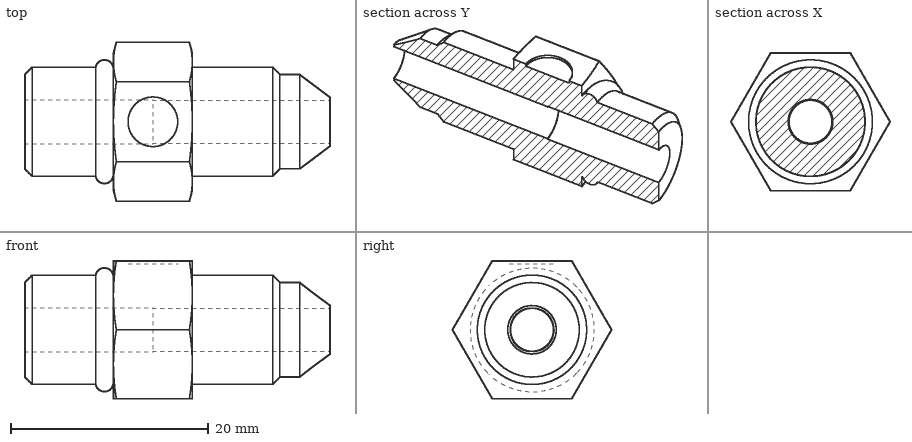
import cadquery as cq
import math

TOTAL_LENGTH = 31.0
BODY_DIAMETER = 11.11
STUD_BORE_DIAMETER = 4.49
CONE_BORE_DIAMETER = 4.36

STUD_CHAMFER = 0.75
STUD_LENGTH = 9.0

HEX_ACROSS_FLATS = 14.0
HEX_LENGTH = 8.0
HEX_CHAMFER_ANGLE = 15.0

BODY_END_X = 25.9
BODY_END_CHAMFER_LENGTH = 0.75
NOSE_DIAMETER = 9.6
CONE_LENGTH = 3.1
CONE_HALF_ANGLE = 37.0

RING_INNER_DIAMETER = 8.92
RING_SECTION_DIAMETER = 1.83

RECESS_DIAMETER = 5.04
RECESS_DEPTH = 0.3

body_radius = BODY_DIAMETER / 2
nose_radius = NOSE_DIAMETER / 2
cone_start_x = TOTAL_LENGTH - CONE_LENGTH
cone_end_radius = nose_radius - CONE_LENGTH * math.tan(math.radians(CONE_HALF_ANGLE))
hex_start_x = STUD_LENGTH
hex_end_x = hex_start_x + HEX_LENGTH
hex_middle_x = (hex_start_x + hex_end_x) / 2
hex_flat_radius = HEX_ACROSS_FLATS / 2
hex_corner_radius = hex_flat_radius / math.cos(math.pi / 6)


def revolve_about_x(profile):
    """Revolve a closed XY profile one full turn about the X axis."""
    return profile.revolve(360, (0, 0, 0), (1, 0, 0))


def make_body():
    """Turned body: chamfered stud, round shank, nose and sealing cone."""
    profile = (
        cq.Workplane("XY")
        .moveTo(0, 0)
        .lineTo(0, body_radius - STUD_CHAMFER)
        .lineTo(STUD_CHAMFER, body_radius)
        .lineTo(BODY_END_X - BODY_END_CHAMFER_LENGTH, body_radius)
        .lineTo(BODY_END_X, nose_radius)
        .lineTo(cone_start_x, nose_radius)
        .lineTo(TOTAL_LENGTH, cone_end_radius)
        .lineTo(TOTAL_LENGTH, 0)
        .close()
    )
    return revolve_about_x(profile)


def make_hexagon():
    """Hexagon whose corners are turned down to the flats on both faces."""
    prism = (
        cq.Workplane("YZ", origin=(hex_start_x, 0, 0))
        .polygon(6, 2 * hex_corner_radius)
        .extrude(HEX_LENGTH)
    )
    corner_drop = hex_corner_radius - hex_flat_radius
    chamfer_length = corner_drop * math.tan(math.radians(HEX_CHAMFER_ANGLE))
    envelope = (
        cq.Workplane("XY")
        .moveTo(hex_start_x, 0)
        .lineTo(hex_start_x, hex_flat_radius)
        .lineTo(hex_start_x + chamfer_length, hex_corner_radius)
        .lineTo(hex_end_x - chamfer_length, hex_corner_radius)
        .lineTo(hex_end_x, hex_flat_radius)
        .lineTo(hex_end_x, 0)
        .close()
    )
    return prism.intersect(revolve_about_x(envelope))


def make_ring():
    """O-ring around the stud, touching the hexagon face."""
    section_radius = RING_SECTION_DIAMETER / 2
    section_center_radius = RING_INNER_DIAMETER / 2 + section_radius
    section = (
        cq.Workplane("XY")
        .center(hex_start_x - section_radius, section_center_radius)
        .circle(section_radius)
    )
    return section.revolve(360, (0, -section_center_radius, 0), (1, -section_center_radius, 0))


def make_bore():
    """Through bore, slightly wider on the stud side."""
    through_bore = cq.Workplane("YZ").circle(CONE_BORE_DIAMETER / 2).extrude(TOTAL_LENGTH)
    stud_bore = cq.Workplane("YZ").circle(STUD_BORE_DIAMETER / 2).extrude(hex_middle_x)
    return through_bore.union(stud_bore)


def make_recess():
    """Shallow round recess centred on the top flat of the hexagon."""
    return (
        cq.Workplane("XY", origin=(hex_middle_x, 0, hex_flat_radius - RECESS_DEPTH))
        .circle(RECESS_DIAMETER / 2)
        .extrude(RECESS_DEPTH)
    )


fitting = make_body().union(make_hexagon()).union(make_ring())
result = fitting.cut(make_bore()).cut(make_recess())